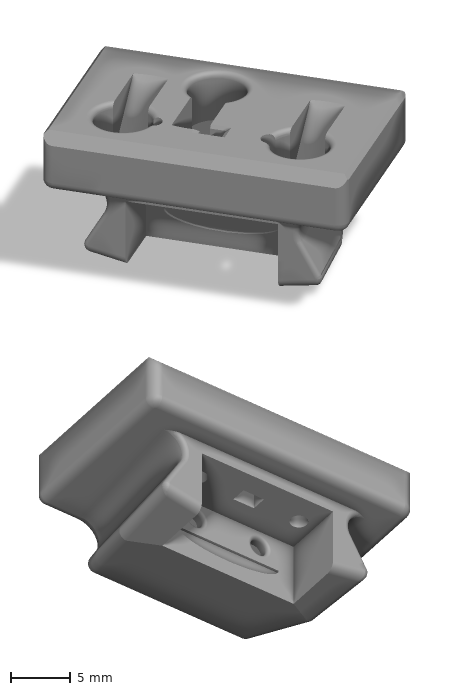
import cadquery as cq
import math

LENGTH = 27.03
WIDTH = 17.22
HEIGHT = 12.7
PLATE_THICKNESS = 5.32
EDGE_RADIUS = 0.8
FRONT_CORNER_RADIUS = 1.0
TOP_CHAMFER = 0.4
FRONT_CHAMFER = 0.97
plate_bottom = HEIGHT - PLATE_THICKNESS
front = -WIDTH / 2
back = WIDTH / 2

BODY_SETBACK = 2.38
NECK_RADIUS = 1.85
NECK_CENTRE_X = 10.38
FLANK_ANGLE = 30.0
TAPER_ANGLE = 4.4
KEEL_HALF_WIDTH = 6.75
KEEL_ANGLE = 10.3
SLOPE_ANGLE = 15.5
SLOPE_START_Y = -0.45
FLANK_FRONT_RADIUS = 0.43
OVERLAP = 1.35
body_front = front + BODY_SETBACK

FLANK_MIN_X = 8.92
KEEL_MAX_Z = 2.43

POCKET_TOP = 6.2
EYE_X = 3.27
EYE_Z = 4.62
EYE_DIAMETER = 1.6
EYE_ROUNDING = 0.35
EYE_DEPTH = 1.0
MOUTH_WIDTH = 10.43
MOUTH_HEIGHT = 1.38
MOUTH_TOP = 2.87
MOUTH_DEPTH = 0.27
pocket_back = SLOPE_START_Y

WELL_DIAMETER = 5.1
WELL_ROUNDING = 0.51
WELL_DEPTH = 4.5
RAMP_WIDTH = 3.1
RAMP_FOOT_RADIUS = 3.25
RAMP_END_RADIUS = 7.87
SIDE_KEYHOLE_X = 7.85
SIDE_KEYHOLE_Y = -3.5
MIDDLE_KEYHOLE_X = -1.92
MIDDLE_KEYHOLE_Y = 4.03

PIN_HOLE_DIAMETER = 1.6
PIN_HOLE_X = 5.15
WINDOW_LENGTH = 2.1
WINDOW_WIDTH = 1.45
WINDOW_FLARE_X = 0.4
WINDOW_FLARE_Y = 0.22
WINDOW_FLARE_DEPTH = 0.3


def make_plate():
    block = cq.Workplane("XY", origin=(0, 0, plate_bottom)).box(
        LENGTH, WIDTH, PLATE_THICKNESS, centered=(True, True, False))
    block = block.edges("|Z and <Y").fillet(FRONT_CORNER_RADIUS)
    block = block.edges("|Z and >Y").fillet(EDGE_RADIUS)
    block = block.faces("<Z").edges().fillet(EDGE_RADIUS)
    return block


def bevel_top(part):
    """Bevel the four top edges with straight cuts; the front bevel is wider than the others."""
    def bevel(plane, half_span, size):
        corner = [(half_span, HEIGHT), (half_span - size, HEIGHT), (half_span, HEIGHT - size)]
        return cq.Workplane(plane).polyline(corner).close().extrude(LENGTH, both=True)

    side = bevel("XZ", LENGTH / 2, TOP_CHAMFER)
    rear = bevel("YZ", back, TOP_CHAMFER)
    nose = bevel("YZ", back, FRONT_CHAMFER).mirror("XZ")
    return part.cut(side).cut(side.mirror("YZ")).cut(rear).cut(nose)


def make_body():
    flank = math.radians(FLANK_ANGLE)
    neck_z = plate_bottom - NECK_RADIUS
    arc_middle_angle = (math.pi / 2 - flank) / 2
    arc_middle = (NECK_CENTRE_X - NECK_RADIUS * math.cos(arc_middle_angle),
                  neck_z + NECK_RADIUS * math.sin(arc_middle_angle))
    arc_end = (NECK_CENTRE_X - NECK_RADIUS * math.cos(flank),
               neck_z - NECK_RADIUS * math.sin(flank))
    flank_foot = (arc_end[0] + arc_end[1] * math.tan(flank), 0)

    half = (
        cq.Workplane("XZ", origin=(0, back + OVERLAP, 0))
        .moveTo(-KEEL_HALF_WIDTH, 0)
        .lineTo(*flank_foot)
        .lineTo(*arc_end)
        .threePointArc(arc_middle, (NECK_CENTRE_X, plate_bottom))
        .lineTo(NECK_CENTRE_X, plate_bottom + OVERLAP)
        .lineTo(-KEEL_HALF_WIDTH, plate_bottom + OVERLAP)
        .close()
        .extrude(back - body_front + 2 * OVERLAP)
        .rotate((NECK_CENTRE_X, body_front, 0), (NECK_CENTRE_X, body_front, 1), TAPER_ANGLE)
    )
    right_span = cq.Workplane("XY").box(
        LENGTH / 2, back - body_front, HEIGHT, centered=False).translate((0, body_front, 0))
    keel_rise = (LENGTH / 2 - KEEL_HALF_WIDTH) * math.tan(math.radians(KEEL_ANGLE))
    below_keel = (
        cq.Workplane("XZ")
        .polyline([(KEEL_HALF_WIDTH, 0), (LENGTH / 2, keel_rise), (LENGTH / 2, 0)])
        .close()
        .extrude(WIDTH, both=True)
    )
    half = half.intersect(right_span).cut(below_keel)
    slope_rise = (back - SLOPE_START_Y) * math.tan(math.radians(SLOPE_ANGLE))
    lead_in = (
        cq.Workplane("YZ")
        .polyline([(SLOPE_START_Y, 0), (back, slope_rise), (back, 0)])
        .close()
        .extrude(LENGTH, both=True)
    )
    return half.union(half.mirror("YZ")).cut(lead_in)


def round_body(body):
    """Round the underside and the back of the body, then the front of the flanks with a smaller radius."""
    def is_outer(edge):
        return abs(edge.Center().x) > FLANK_MIN_X

    def is_below(edge, height):
        return edge.Center().z < height

    back_edges = [e for e in body.faces(">Y").edges().vals() if is_below(e, plate_bottom)]
    keel_front = [e for e in body.faces("<Y").edges().vals() if is_below(e, KEEL_MAX_Z)]
    keel_sides = [e for e in body.edges("not(#Y)").vals() if is_outer(e) and is_below(e, KEEL_MAX_Z)]
    body = body.newObject(back_edges + keel_front + keel_sides).fillet(EDGE_RADIUS)

    front_edges = [e for e in body.faces("<Y").edges().vals() if is_outer(e)]
    flank_fronts = [e for e in front_edges if is_below(e, plate_bottom) and not is_below(e, KEEL_MAX_Z)]
    return body.newObject(flank_fronts).fillet(FLANK_FRONT_RADIUS)


def make_pocket():
    pocket = cq.Workplane("XY").box(
        2 * KEEL_HALF_WIDTH, pocket_back - front, POCKET_TOP, centered=(True, False, False))
    return pocket.translate((0, front, 0))


def make_rounded_hole(radius, rounding, depth):
    """Cutter for a blind hole going down from z = 0, with a convex rounding at its rim."""
    diagonal = rounding * math.sqrt(0.5)
    return (
        cq.Workplane("XZ")
        .moveTo(0, 0)
        .lineTo(radius + rounding, 0)
        .threePointArc((radius + rounding - diagonal, diagonal - rounding), (radius, -rounding))
        .lineTo(radius, -depth)
        .lineTo(0, -depth)
        .close()
        .revolve(360, (0, 0, 0), (0, 1, 0))
    )


def make_eye(x):
    """Blind round hole in the pocket wall with a rounded mouth, as a cutter."""
    return make_rounded_hole(EYE_DIAMETER / 2, EYE_ROUNDING, EYE_DEPTH).rotate(
        (0, 0, 0), (1, 0, 0), 90).translate((x, pocket_back, EYE_Z))


def make_mouth():
    """Lower half of an ellipse sunk into the pocket wall, as a cutter."""
    half_width = MOUTH_WIDTH / 2
    return (
        cq.Workplane("XZ", origin=(0, pocket_back, MOUTH_TOP))
        .moveTo(-half_width, 0)
        .ellipseArc(half_width, MOUTH_HEIGHT, 180, 360, startAtCurrent=True)
        .close()
        .extrude(-MOUTH_DEPTH)
    )


def make_keyhole(x, y, turn):
    """Cutter for a keyhole whose ramp climbs toward +Y before it is turned about the well axis."""
    well = make_rounded_hole(WELL_DIAMETER / 2, WELL_ROUNDING, WELL_DEPTH)
    cone = (
        cq.Workplane("XZ")
        .polyline([(0, 0), (RAMP_END_RADIUS, 0), (RAMP_FOOT_RADIUS, -WELL_DEPTH), (0, -WELL_DEPTH)])
        .close()
        .revolve(360, (0, 0, 0), (0, 1, 0))
    )
    lane = cq.Workplane("XY").box(
        RAMP_WIDTH, RAMP_END_RADIUS, 2 * WELL_DEPTH, centered=(True, False, True))
    keyhole = well.union(cone.intersect(lane))
    return keyhole.rotate((0, 0, 0), (0, 0, 1), turn).translate((x, y, HEIGHT))


def make_pin_hole(x):
    return cq.Workplane("XY", origin=(x, SIDE_KEYHOLE_Y, 0)).circle(PIN_HOLE_DIAMETER / 2).extrude(HEIGHT)


def make_window():
    """Cutter for the rectangular opening, flared at the top face."""
    straight = cq.Workplane("XY", origin=(0, SIDE_KEYHOLE_Y, 0)).rect(
        WINDOW_LENGTH, WINDOW_WIDTH).extrude(HEIGHT)
    flare = (
        cq.Workplane("XY", origin=(0, SIDE_KEYHOLE_Y, HEIGHT))
        .rect(WINDOW_LENGTH + 2 * WINDOW_FLARE_X, WINDOW_WIDTH + 2 * WINDOW_FLARE_Y)
        .workplane(offset=-WINDOW_FLARE_DEPTH)
        .rect(WINDOW_LENGTH, WINDOW_WIDTH)
        .loft(ruled=True)
    )
    return straight.union(flare)


result = make_plate().union(round_body(make_body()))
result = bevel_top(result).cut(make_pocket()).cut(make_mouth())
for side in (-1, 1):
    result = result.cut(make_eye(side * EYE_X))
    result = result.cut(make_keyhole(side * SIDE_KEYHOLE_X, SIDE_KEYHOLE_Y, 0))
    result = result.cut(make_pin_hole(side * PIN_HOLE_X))
result = result.cut(make_keyhole(MIDDLE_KEYHOLE_X, MIDDLE_KEYHOLE_Y, 180))
result = result.cut(make_window())